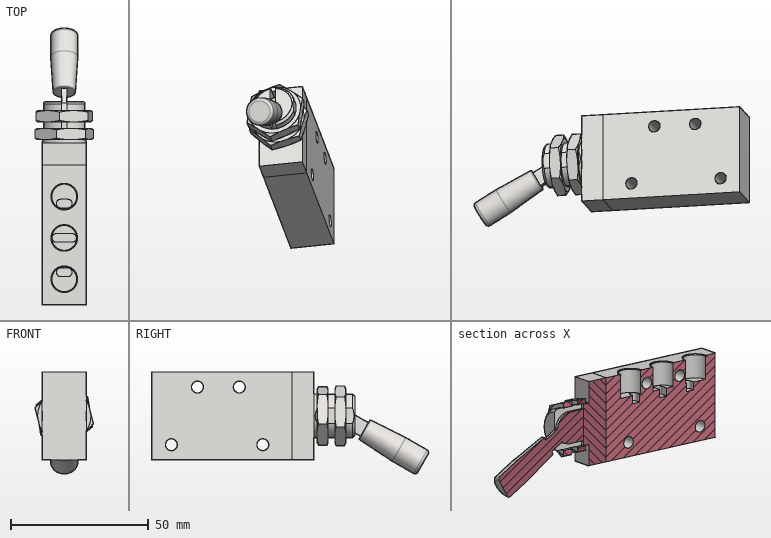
import cadquery as cq
import math


BODY_WIDTH = 16.0
BODY_HEIGHT = 32.0
BODY_LENGTH = 50.9
CAP_LENGTH = 8.0
CAP_FRONT_Y = BODY_LENGTH
CAP_BACK_Y = CAP_FRONT_Y + CAP_LENGTH

CROSS_HOLE_DIAMETER = 4.2
CROSS_HOLE_HEIGHT = 10.5
CROSS_HOLES = [
    (16.6, CROSS_HOLE_HEIGHT),
    (31.8, CROSS_HOLE_HEIGHT),
    (7.1, -CROSS_HOLE_HEIGHT),
    (40.4, -CROSS_HOLE_HEIGHT),
]

PORT_DIAMETER = 9.1
PORT_CHAMFER = 0.3
PORT_DEPTH = 9.1
PORT_FLOOR_Z = BODY_HEIGHT / 2 - PORT_DEPTH
PORT_PITCH = 15.0
FIRST_PORT_Y = 9.4
CENTRE_PASSAGE_LENGTH = 8.9
SIDE_PASSAGE_LENGTH = 5.7
PASSAGE_WIDTH = 3.1
PASSAGE_DEPTH = 3.0
PASSAGE_OFFSET = 2.5

BUSHING_RADIUS = BODY_WIDTH / 2
BUSHING_LENGTH = 15.0
BUSHING_CHAMFER = 0.9
FLAT_DEPTH = 0.5
FLAT_OFFSET = BUSHING_RADIUS - FLAT_DEPTH
FLAT_START = 1.4
FLAT_RUNOUT_START = 0.5

NUT_ACROSS_FLATS = 19.1
NUT_CORNER_RADIUS = NUT_ACROSS_FLATS / math.sqrt(3)
NUT_THICKNESS = 4.0
NUT_FACE_RADIUS = 9.7
NUT_CHAMFER_DEPTH = 0.5
NUT_PLACES = [(1.2, 15.0), (7.7, 21.0)]

LEVER_TILT = 30.0
LEVER_THICKNESS = 1.9
ROOT_RADIUS = 6.0
ROOT_START = 2.5
ROOT_END = 14.6
NECK_WIDTH = 5.7
AXIS_CROSSING = 9.9
HANDLE_START = 9.9
HANDLE_LENGTH = 24.6
GRIP_LENGTH = 10.1
HANDLE_SMALL_DIAMETER = 8.3
HANDLE_LARGE_DIAMETER = 10.0
HANDLE_END_FILLET = 1.1
HANDLE_START_FILLET = 0.3


def block(y_start, length):
    return (
        cq.Workplane("XY")
        .box(BODY_WIDTH, length, BODY_HEIGHT, centered=(True, False, True))
        .translate((0, y_start, 0))
    )


def cross_holes():
    return (
        cq.Workplane("YZ")
        .pushPoints(CROSS_HOLES)
        .circle(CROSS_HOLE_DIAMETER / 2)
        .extrude(BODY_WIDTH, both=True)
    )


def port(port_y):
    radius = PORT_DIAMETER / 2
    top = BODY_HEIGHT / 2
    return (
        cq.Workplane("XZ", origin=(0, port_y, 0))
        .moveTo(0, PORT_FLOOR_Z)
        .lineTo(radius, PORT_FLOOR_Z)
        .lineTo(radius, top - PORT_CHAMFER)
        .lineTo(radius + PORT_CHAMFER, top)
        .lineTo(0, top)
        .close()
        .revolve(360, (0, 0, 0), (0, 1, 0))
    )


def passage(passage_y, length):
    return (
        cq.Workplane("XY", origin=(0, passage_y, PORT_FLOOR_Z))
        .slot2D(length, PASSAGE_WIDTH)
        .extrude(-PASSAGE_DEPTH)
    )


def make_valve_body():
    body = block(0, BODY_LENGTH).cut(cross_holes())
    for index in range(3):
        body = body.cut(port(FIRST_PORT_Y + index * PORT_PITCH))
    centre_y = FIRST_PORT_Y + PORT_PITCH
    side_distance = PORT_PITCH - PASSAGE_OFFSET
    body = body.cut(passage(centre_y, CENTRE_PASSAGE_LENGTH))
    for side in (-1, 1):
        body = body.cut(passage(centre_y + side * side_distance, SIDE_PASSAGE_LENGTH))
    return body


def side_flat_cut(side):
    return (
        cq.Workplane("XY", origin=(0, CAP_BACK_Y, 0))
        .moveTo(side * FLAT_OFFSET, BUSHING_LENGTH)
        .lineTo(side * FLAT_OFFSET, FLAT_START)
        .lineTo(side * BUSHING_RADIUS, FLAT_RUNOUT_START)
        .lineTo(side * BUSHING_RADIUS, BUSHING_LENGTH)
        .close()
        .extrude(BUSHING_RADIUS, both=True)
    )


def lever_slot():
    slot_length = BUSHING_LENGTH - ROOT_START
    return (
        cq.Workplane("XY")
        .box(LEVER_THICKNESS, slot_length, 2 * BUSHING_RADIUS, centered=(True, False, True))
        .translate((0, CAP_BACK_Y + ROOT_START, 0))
    )


def make_cap():
    bushing = (
        cq.Workplane("XZ", origin=(0, CAP_BACK_Y, 0))
        .circle(BUSHING_RADIUS)
        .extrude(-BUSHING_LENGTH)
        .faces(">Y")
        .chamfer(BUSHING_CHAMFER)
    )
    for side in (-1, 1):
        bushing = bushing.cut(side_flat_cut(side))
    bushing = bushing.cut(lever_slot())
    return block(CAP_FRONT_Y, CAP_LENGTH).union(bushing)


def make_nut(start, turn):
    y_start = CAP_BACK_Y + start
    y_end = y_start + NUT_THICKNESS
    hexagon = (
        cq.Workplane("XZ", origin=(0, y_start, 0))
        .polygon(6, 2 * NUT_CORNER_RADIUS)
        .extrude(-NUT_THICKNESS)
        .rotate((0, 0, 0), (0, 1, 0), turn)
    )
    ring = (
        cq.Workplane("XY")
        .moveTo(BUSHING_RADIUS, y_start)
        .lineTo(NUT_FACE_RADIUS, y_start)
        .lineTo(NUT_CORNER_RADIUS, y_start + NUT_CHAMFER_DEPTH)
        .lineTo(NUT_CORNER_RADIUS, y_end - NUT_CHAMFER_DEPTH)
        .lineTo(NUT_FACE_RADIUS, y_end)
        .lineTo(BUSHING_RADIUS, y_end)
        .close()
        .revolve(360, (0, 0, 0), (0, 1, 0))
    )
    return hexagon.intersect(ring)


def lever_root():
    arc_y = CAP_BACK_Y + ROOT_END - ROOT_RADIUS
    start_y = CAP_BACK_Y + ROOT_START
    return (
        cq.Workplane("YZ", origin=(-LEVER_THICKNESS / 2, 0, 0))
        .moveTo(start_y, ROOT_RADIUS)
        .lineTo(arc_y, ROOT_RADIUS)
        .threePointArc((arc_y + ROOT_RADIUS, 0), (arc_y, -ROOT_RADIUS))
        .lineTo(start_y, -ROOT_RADIUS)
        .close()
        .extrude(LEVER_THICKNESS)
    )


def make_lever():
    neck = (
        cq.Workplane("XY")
        .box(LEVER_THICKNESS, HANDLE_START, NECK_WIDTH, centered=(True, False, True))
    )
    handle_end = HANDLE_START + HANDLE_LENGTH
    grip_start = handle_end - GRIP_LENGTH
    handle = (
        cq.Workplane("YZ")
        .moveTo(HANDLE_START, 0)
        .lineTo(HANDLE_START, HANDLE_SMALL_DIAMETER / 2)
        .lineTo(grip_start, HANDLE_LARGE_DIAMETER / 2)
        .lineTo(handle_end, HANDLE_LARGE_DIAMETER / 2)
        .lineTo(handle_end, 0)
        .close()
        .revolve(360, (0, 0, 0), (1, 0, 0))
        .faces(">Y")
        .edges()
        .fillet(HANDLE_END_FILLET)
        .faces("<Y")
        .edges()
        .fillet(HANDLE_START_FILLET)
    )
    arm = (
        neck.union(handle)
        .rotate((0, 0, 0), (1, 0, 0), -LEVER_TILT)
        .translate((0, CAP_BACK_Y + AXIS_CROSSING, 0))
    )
    return lever_root().union(arm)


valve_body = make_valve_body()
cap = make_cap()
nuts = [make_nut(start, turn) for start, turn in NUT_PLACES]
lever = make_lever()

result = cq.Compound.makeCompound(
    [valve_body.val(), cap.val(), *[nut.val() for nut in nuts], lever.val()]
)